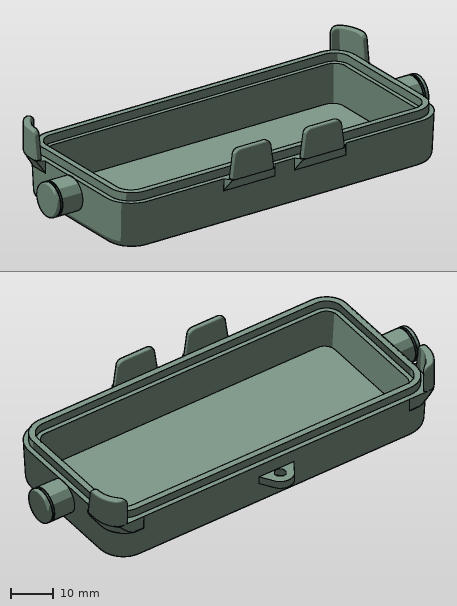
import cadquery as cq
import math

tray_width = 43.2
tray_length = 93.5
corner_radius = 7.1
shelf_height = 12.2
lip_top = 14.4
lip_setback = 1.3
lip_thickness = 1.6
ledge_width = 1.2
floor_height = 2.0
floor_inset_x = 0.3
floor_inset_y = 0.8
wall_draft = 2.0
bottom_fillet = 1.8
wall_overlap = 1.3

overall_length = 108.0
port_radius = 4.4
port_height = 8.0
port_edge_fillet = 0.4
groove_offset = 1.1
groove_width = 0.5
groove_depth = 0.2

tab_top = 19.7
tab_thickness = 1.6
tab_flank_angle = 8.0
tab_corner_radius = 1.7
tab_edge_fillet = 0.5
support_angle = 30.0
support_rim = 0.2
support_root = 0.3
support_bevel = 1.3

side_tab_base = 12.3
side_tab_spacing = 20.5

corner_tab_end_x = -12.2
corner_tab_end_y = 43.1
corner_support_end_y = 38.6
corner_tab_blend = 2.7
corner_tab_shift = 0.5

lug_radius = 3.5
lug_reach = 26.5
lug_hole_radius = 1.4
lug_bottom = 6.6
lug_thickness = 2.0
lug_flank_angle = 32.0

pad_width = 10.4
pad_length = 17.4
pad_x = -10.0
pad_y = 29.7
pad_thickness = 0.3

half_width = tray_width / 2
half_length = tray_length / 2
tab_height = tab_top - shelf_height
flank_slope = math.tan(math.radians(tab_flank_angle))
tab_lean = tab_height * flank_slope
slope_top = shelf_height - support_rim
slope_bottom = slope_top - (tab_thickness + support_root) / math.tan(math.radians(support_angle))


def rounded_block(inset, bottom, top):
    """Upright block following the tray outline, moved inward by inset (outward if negative)."""
    return (
        cq.Workplane("XY", origin=(0, 0, bottom))
        .rect(tray_width - 2 * inset, tray_length - 2 * inset)
        .extrude(top - bottom)
        .edges("|Z")
        .fillet(corner_radius - inset)
    )


def make_tray():
    shell = (
        cq.Workplane("XY", origin=(0, 0, shelf_height))
        .rect(tray_width, tray_length)
        .extrude(-shelf_height, taper=wall_draft)
        .edges("not(#Z or |X or |Y)")
        .fillet(corner_radius)
        .faces("<Z")
        .edges()
        .fillet(bottom_fillet)
    )
    lip_inset = lip_setback + lip_thickness
    lip = rounded_block(lip_setback, shelf_height, lip_top)
    lip = lip.cut(rounded_block(lip_inset, shelf_height, lip_top))

    mouth_inset = lip_inset + ledge_width
    mouth_width = tray_width - 2 * mouth_inset
    mouth_length = tray_length - 2 * mouth_inset
    cavity = (
        cq.Workplane("XY", origin=(0, 0, floor_height))
        .rect(mouth_width - 2 * floor_inset_x, mouth_length - 2 * floor_inset_y)
        .workplane(offset=shelf_height - floor_height)
        .rect(mouth_width, mouth_length)
        .loft(ruled=True)
        .edges("not(|X or |Y)")
        .fillet(corner_radius - mouth_inset)
    )
    return shell.union(lip).cut(cavity)


def make_port():
    """Closed round port on the +Y end, with a narrow groove near its rounded tip."""
    start = half_length - wall_overlap
    tip = overall_length / 2
    groove_start = tip - groove_offset - groove_width

    def disc(radius, near, far):
        return (
            cq.Workplane("XZ", origin=(0, near, port_height))
            .circle(radius)
            .extrude(near - far)
        )

    port = disc(port_radius, start, tip).faces(">Y").edges().fillet(port_edge_fillet)
    groove = disc(port_radius, groove_start, groove_start + groove_width)
    groove = groove.cut(disc(port_radius - groove_depth, groove_start, groove_start + groove_width))
    above_shelf = rounded_block(0, shelf_height, lip_top)
    return port.cut(groove).cut(above_shelf)


def make_side_tab(center_y):
    """Upright tab on the +X wall, standing on a bevelled support with a sloped underside."""
    half_base = side_tab_base / 2
    half_top = half_base - tab_lean
    tab = (
        cq.Workplane("YZ", origin=(half_width, center_y, shelf_height))
        .polyline([(-half_base, 0), (half_base, 0), (half_top, tab_height), (-half_top, tab_height)])
        .close()
        .extrude(tab_thickness)
    )
    tab = tab.faces(">Z").edges("|X").fillet(tab_corner_radius)
    tab = tab.faces("<X or >X").edges("not <Z").fillet(tab_edge_fillet)

    root_x = half_width - support_root
    outer_x = half_width + tab_thickness
    half_wall = half_base + support_bevel
    plan = (
        cq.Workplane("XY", origin=(0, center_y, slope_bottom))
        .polyline([
            (root_x, -half_wall), (half_width, -half_wall), (outer_x, -half_base),
            (outer_x, half_base), (half_width, half_wall), (root_x, half_wall),
        ])
        .close()
        .extrude(shelf_height - slope_bottom)
    )
    slope = (
        cq.Workplane("XZ", origin=(0, center_y + half_wall, 0))
        .polyline([
            (root_x, slope_bottom), (outer_x, slope_top),
            (outer_x, shelf_height), (root_x, shelf_height),
        ])
        .close()
        .extrude(2 * half_wall)
    )
    return tab.union(plan.intersect(slope))


def make_corner_tab():
    """Curved tab wrapping the (-X, +Y) corner, flush with the long wall at X = -half_width."""
    outer_y = half_length + tab_thickness
    wall = rounded_block(-tab_thickness, shelf_height, tab_top).translate((-corner_tab_shift, 0, 0))
    wall = wall.cut(rounded_block(0, shelf_height, tab_top))
    front_outline = (
        cq.Workplane("XZ", origin=(0, outer_y, shelf_height))
        .polyline([
            (-half_width, 0), (corner_tab_end_x, 0),
            (corner_tab_end_x - tab_lean, tab_height), (-half_width, tab_height),
        ])
        .close()
        .extrude(outer_y)
        .faces(">Z")
        .edges(">X")
        .fillet(tab_corner_radius)
    )
    side_outline = (
        cq.Workplane("XY", origin=(0, corner_tab_end_y, shelf_height))
        .box(tray_width, outer_y - corner_tab_end_y, tab_height, centered=(True, False, False))
        .edges("<Y and >Z")
        .fillet(tab_corner_radius)
    )
    tab = wall.intersect(front_outline).intersect(side_outline)
    tab = tab.edges("|Z").edges("<X").edges(">Y").fillet(corner_tab_blend)
    tab = tab.faces(">Z").edges("%CIRCLE").fillet(tab_edge_fillet)

    slope = (
        cq.Workplane("XY", origin=(-corner_tab_shift, 0, slope_bottom))
        .sketch()
        .rect(tray_width - 2 * support_root, tray_length - 2 * support_root)
        .vertices()
        .fillet(corner_radius - support_root)
        .finalize()
        .extrude(slope_top - slope_bottom, taper=-support_angle)
    )
    rim = rounded_block(-tab_thickness, slope_top, shelf_height).translate((-corner_tab_shift, 0, 0))
    plan = (
        cq.Workplane("XY", origin=(0, 0, slope_bottom))
        .polyline([
            (-half_width, corner_support_end_y), (-half_width, outer_y),
            (corner_tab_end_x, outer_y),
            (corner_tab_end_x + support_bevel, half_length),
            (corner_tab_end_x + support_bevel, corner_support_end_y),
        ])
        .close()
        .extrude(shelf_height - slope_bottom)
    )
    core = rounded_block(wall_overlap, slope_bottom, shelf_height)
    return tab.union(slope.union(rim).intersect(plan).cut(core))


def make_lug():
    """Flat eyelet on the -X wall: a round end with flanks tangent to it, and a hole."""
    angle = math.radians(lug_flank_angle)
    eye_x = lug_radius - lug_reach
    root_x = wall_overlap - half_width
    tangent_x = eye_x - lug_radius * math.sin(angle)
    tangent_y = lug_radius * math.cos(angle)
    root_y = tangent_y + (root_x - tangent_x) * math.tan(angle)
    return (
        cq.Workplane("XY", origin=(0, 0, lug_bottom))
        .moveTo(root_x, -root_y)
        .lineTo(tangent_x, -tangent_y)
        .threePointArc((-lug_reach, 0), (tangent_x, tangent_y))
        .lineTo(root_x, root_y)
        .close()
        .moveTo(eye_x, 0)
        .circle(lug_hole_radius)
        .extrude(lug_thickness)
    )


def make_pad():
    """Thin raised pad under the tray floor."""
    return (
        cq.Workplane("XY", origin=(pad_x, pad_y, -pad_thickness))
        .rect(pad_width, pad_length)
        .extrude(pad_thickness + wall_overlap)
    )


result = make_tray().union(make_lug()).union(make_pad())
for end_feature in (make_port(), make_corner_tab()):
    result = result.union(end_feature).union(end_feature.mirror("XZ"))
for side in (-1, 1):
    result = result.union(make_side_tab(side * side_tab_spacing / 2))